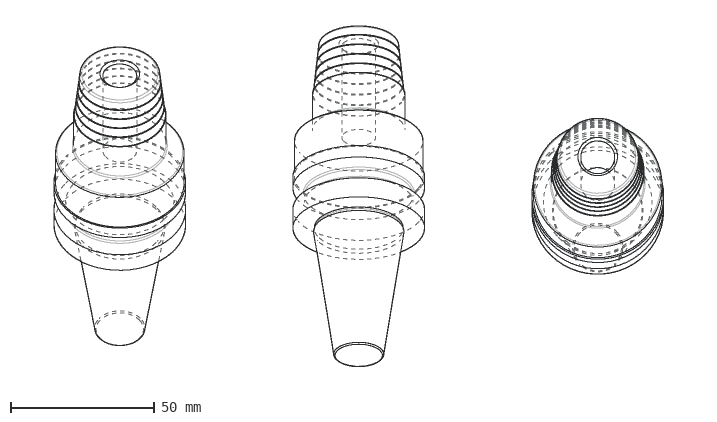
import cadquery as cq
import math

total_height = 123.4
taper_top = 49.0
relief_top = 49.9
flange_bottom = 50.5
groove_bottom = 58.0
groove_top = 66.3
flange_top = 70.8
body_top = 85.1
nose_bottom = 103.5

taper_small_radius = 8.8
taper_large_radius = 15.8
relief_radius = 15.5
flange_diameter = 46.0
flange_radius = flange_diameter / 2
groove_radius = 19.0
body_radius = 22.5
neck_radius = 16.2
nose_large_radius = 15.9
nose_small_radius = 14.0
bore_radius = 5.9

taper_chamfer = 0.5
body_chamfer = 0.5
nose_round = 0.7
bore_chamfer = 1.0
bore_depth = 37.0
fillet_radius = 0.9
select_margin = 0.1
cone_rise = math.tan(math.radians(30))

ring_count = 4
ring_pitch = (total_height - nose_bottom) / (ring_count + 1)
ring_width = 0.2
ring_depth = 0.1


def make_outer_body():
    """Revolve the half outline of the holder around Z."""
    groove_rise = (flange_radius - groove_radius) * cone_rise
    shoulder_radius = body_radius - body_chamfer
    shoulder_bottom = body_top + body_chamfer
    shoulder_top = shoulder_bottom + (shoulder_radius - neck_radius) * cone_rise
    outline = [
        (0, 0),
        (taper_small_radius - taper_chamfer, 0),
        (taper_small_radius, taper_chamfer),
        (taper_large_radius, taper_top),
        (relief_radius, relief_top),
        (relief_radius, flange_bottom),
        (flange_radius, flange_bottom),
        (flange_radius, groove_bottom),
        (groove_radius, groove_bottom + groove_rise),
        (groove_radius, groove_top - groove_rise),
        (flange_radius, groove_top),
        (flange_radius, flange_top),
        (body_radius, flange_top),
        (body_radius, body_top),
        (shoulder_radius, shoulder_bottom),
        (neck_radius, shoulder_top),
        (neck_radius, nose_bottom),
        (nose_large_radius, nose_bottom),
        (nose_small_radius, total_height),
        (0, total_height),
    ]
    body = cq.Workplane("XZ").polyline(outline).close().revolve(360, (0, 0), (0, 1))
    corners = [
        (groove_radius, groove_bottom + groove_rise),
        (groove_radius, groove_top - groove_rise),
        (neck_radius, shoulder_top),
    ]
    for radius, height in corners:
        reach = radius + select_margin
        corner_edge = cq.selectors.BoxSelector(
            (-reach, -reach, height - select_margin),
            (reach, reach, height + select_margin),
            boundingbox=True,
        )
        body = body.edges(corner_edge).edges("%CIRCLE").fillet(fillet_radius)
    return body.faces(">Z").edges().fillet(nose_round)


def cut_marking_rings(body):
    """Cut shallow, evenly spaced grooves around the nose."""
    nose_slope = (nose_large_radius - nose_small_radius) / (total_height - nose_bottom)
    for index in range(1, ring_count + 1):
        height = nose_bottom + index * ring_pitch
        floor_radius = nose_large_radius - nose_slope * (height - nose_bottom) - ring_depth
        ring = (
            cq.Workplane("XY", origin=(0, 0, height - ring_width / 2))
            .circle(neck_radius)
            .circle(floor_radius)
            .extrude(ring_width)
        )
        body = body.cut(ring)
    return body


def cut_bore(body):
    """Cut the blind tool bore with its lead-in chamfer."""
    bore_bottom = total_height - bore_depth
    bore_outline = [
        (0, bore_bottom),
        (bore_radius, bore_bottom),
        (bore_radius, total_height - bore_chamfer),
        (bore_radius + bore_chamfer, total_height),
        (0, total_height),
    ]
    bore = cq.Workplane("XZ").polyline(bore_outline).close().revolve(360, (0, 0), (0, 1))
    return body.cut(bore)


result = cut_bore(cut_marking_rings(make_outer_body()))